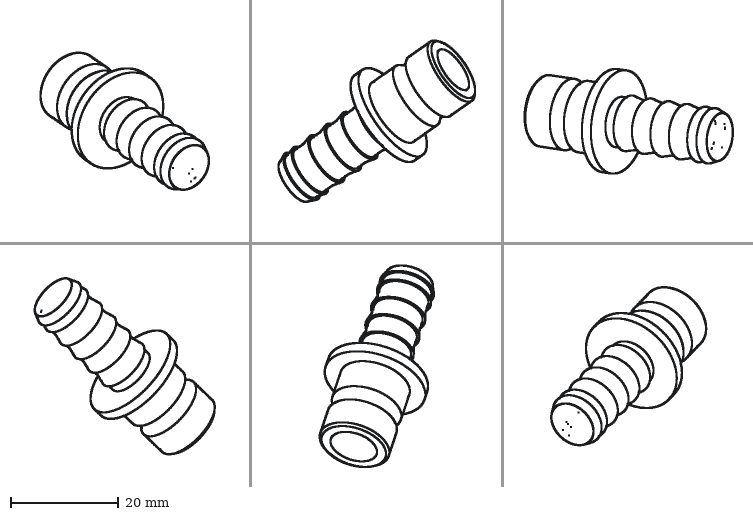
import cadquery as cq
import math


total_length = 39.26
bore_radius = 9.0 / 2

plug_radius = 13.5 / 2
plug_chamfer = 0.5
groove_center = 7.48
groove_floor_radius = 12.0 / 2
groove_arc_radius = 2.0

flange_radius = 19.5 / 2
flange_start = 14.95
flange_thickness = 2.0
flange_end = flange_start + flange_thickness

tail_radius = 9.5 / 2
barb_radius = 10.5 / 2
tip_radius = 9.1 / 2
first_barb = 19.08
barb_count = 5
barb_length = 2.04
barb_pitch = 2 * barb_length
tip_start = first_barb + (barb_count - 1) * barb_pitch + barb_length


def revolve_about_x(profile):
    return profile.close().revolve(360, (0, 0, 0), (1, 0, 0))


def make_plug():
    """Chamfered plug with a round-bottomed locking groove."""
    groove_depth = plug_radius - groove_floor_radius
    groove_half_width = math.sqrt(groove_arc_radius**2 - (groove_arc_radius - groove_depth) ** 2)
    profile = (
        cq.Workplane("XY")
        .lineTo(0, plug_radius - plug_chamfer)
        .lineTo(plug_chamfer, plug_radius)
        .lineTo(groove_center - groove_half_width, plug_radius)
        .threePointArc(
            (groove_center, groove_floor_radius),
            (groove_center + groove_half_width, plug_radius),
        )
        .lineTo(flange_end, plug_radius)
        .lineTo(flange_end, 0)
    )
    return revolve_about_x(profile)


def make_flange():
    return cq.Workplane("YZ", origin=(flange_start, 0, 0)).circle(flange_radius).extrude(flange_thickness)


def make_tail():
    """Hose tail with sawtooth barbs, their steep sides facing the flange, and a tapered tip."""
    profile = cq.Workplane("XY").moveTo(flange_start, 0).lineTo(flange_start, tail_radius)
    for index in range(barb_count):
        barb_start = first_barb + index * barb_pitch
        profile = (
            profile.lineTo(barb_start, tail_radius)
            .lineTo(barb_start, barb_radius)
            .lineTo(barb_start + barb_length, tail_radius)
        )
    profile = (
        profile.lineTo(tip_start, barb_radius)
        .lineTo(total_length, tip_radius)
        .lineTo(total_length, 0)
    )
    return revolve_about_x(profile)


def make_bore():
    return cq.Workplane("YZ").circle(bore_radius).extrude(total_length)


result = make_plug().union(make_flange()).union(make_tail()).cut(make_bore())